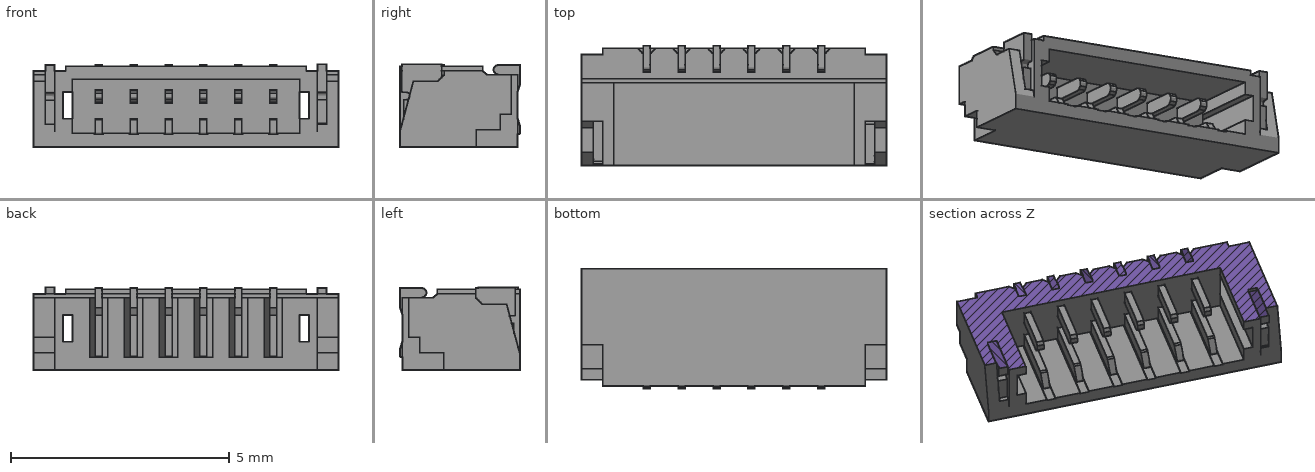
import cadquery as cq
import math


LENGTH = 7.0
REAR_Y = 2.695
BACK_TOP_Z = 1.66
DECK_Z = 1.74
RAISED_TOP_Z = 1.855
RAISED_LENGTH = 5.515
RAISED_REAR_Y = 1.9
DECK_STEP_Y = 1.995

END_WIDTH = 0.49
END_REAR_Y = 2.55
STEP_UPPER_Y = 2.295
STEP_UPPER_Z = 0.755
STEP_LOWER_Y = 1.75
STEP_LOWER_Z = 0.4

CAVITY_LENGTH = 5.21
CAVITY_FLOOR_Z = 0.315
CAVITY_ROOF_Z = 1.555
CAVITY_DEPTH = RAISED_REAR_Y
WINDOW_SPAN = 5.63
WINDOW_BOTTOM_Z = 0.65
WINDOW_TOP_Z = 1.26

POCKET_REAR_Y = 1.015
POCKET_FLOOR_Z = 1.51
POCKET_BEVEL = BACK_TOP_Z - POCKET_FLOOR_Z
SLOPE_TOP_Y = 0.31
SLOPE_BOTTOM_Z = 0.36

TAB_THICKNESS = 0.21
TAB_BOTTOM_Z = 0.525
TAB_TOP_Z = 1.88
TAB_FRONT_Y = 0.105
LEG_FRONT_Y = 0.15
LEG_TOP_Z = 1.07
TAB_NOSE_Z = 1.24
TAB_NOTCH_Y = 0.21
TAB_CORNER_RADIUS = 0.035
RIGHT_TAB_FORWARD = 0.06
RIGHT_TAB_LIFT = 0.015

CONTACT_COUNT = 6
CONTACT_PITCH = 0.8
CONTACT_THICKNESS = 0.16
CONTACT_BOTTOM_Z = 0.295
CONTACT_TOP_Z = 1.88
CONTACT_REAR_Y = 2.75
SPINE_FRONT_Y = 2.31
TAIL_NOSE_Y = 2.14
TAIL_BULGE_Z = 1.42
TAIL_FADE_Z = 1.26
HEEL_BULGE_Z = 0.48
HEEL_FADE_Z = 0.68
HEEL_BEVEL = 0.02
UPPER_BEAM_TOP_Z = 1.315
UPPER_BEAM_BOTTOM_Z = 1.01
UPPER_BEAM_TIP_Y = 0.84
NOSE_ANGLES = (90, 59, 25, 8, -8, -25, -59, -90)
LOWER_BEAM_TOP_Z = 0.645
SHOULDER_Y = 0.58
SHOULDER_BEVEL_LENGTH = 0.05
SHOULDER_BEVEL_DROP = 0.02
FOOT_Y = 0.39
FOOT_ROUND_Y = 0.385
FOOT_ROUND_Z = 0.38

GROOVE_WIDTH = 0.2
FUNNEL_WIDTH = 0.42
FUNNEL_DEPTH = 0.13

CONTACT_XS = [(i - (CONTACT_COUNT - 1) / 2) * CONTACT_PITCH for i in range(CONTACT_COUNT)]
DIAGONAL = math.sqrt(0.5)


def block(x0, x1, y0, y1, z0, z1):
    """Box between two opposite corners."""
    return cq.Workplane("XY").box(x1 - x0, y1 - y0, z1 - z0, centered=False).translate((x0, y0, z0))


def side_profile():
    """Workplane for outlines drawn as (Y, Z) points, extruded along X."""
    return cq.Workplane("YZ")


def mirrored_pair(left):
    """A left-hand shape together with its mirror image on the right."""
    return [left, left.mirror("YZ")]


def make_shell():
    """Outer block with stepped decks and the raised roof."""
    body = (
        side_profile()
        .moveTo(0, 0)
        .lineTo(REAR_Y, 0)
        .lineTo(REAR_Y, BACK_TOP_Z)
        .lineTo(DECK_STEP_Y, BACK_TOP_Z)
        .lineTo(RAISED_REAR_Y, DECK_Z)
        .lineTo(0, DECK_Z)
        .close()
        .extrude(LENGTH / 2, both=True)
    )
    half_raised = RAISED_LENGTH / 2
    return body.union(block(-half_raised, half_raised, 0, RAISED_REAR_Y, CAVITY_ROOF_Z, RAISED_TOP_Z))


def make_end_step():
    """Staircase cut from the rear of the left end block."""
    return (
        side_profile()
        .workplane(offset=-LENGTH / 2)
        .moveTo(STEP_LOWER_Y, 0)
        .lineTo(STEP_LOWER_Y, STEP_LOWER_Z)
        .lineTo(STEP_UPPER_Y, STEP_LOWER_Z)
        .lineTo(STEP_UPPER_Y, STEP_UPPER_Z)
        .lineTo(END_REAR_Y, STEP_UPPER_Z)
        .lineTo(END_REAR_Y, BACK_TOP_Z)
        .lineTo(REAR_Y, BACK_TOP_Z)
        .lineTo(REAR_Y, 0)
        .close()
        .extrude(END_WIDTH)
    )


def make_corner_pocket():
    """Open pocket with a sloping front in the left end, plus the slot that holds the tab."""
    pocket = (
        side_profile()
        .workplane(offset=-LENGTH / 2)
        .moveTo(0, SLOPE_BOTTOM_Z)
        .lineTo(SLOPE_TOP_Y, POCKET_FLOOR_Z)
        .lineTo(POCKET_REAR_Y - POCKET_BEVEL, POCKET_FLOOR_Z)
        .lineTo(POCKET_REAR_Y, BACK_TOP_Z)
        .lineTo(POCKET_REAR_Y, DECK_Z)
        .lineTo(0, DECK_Z)
        .close()
        .extrude(END_WIDTH)
    )
    inner_x = -LENGTH / 2 + END_WIDTH
    slot = block(inner_x - TAB_THICKNESS, inner_x, 0, POCKET_REAR_Y, TAB_BOTTOM_Z, DECK_Z)
    return pocket.union(slot)


def make_funnel(x):
    """V-shaped mouth in the rear face, narrowing to the contact thickness."""
    return (
        cq.Workplane("XY", origin=(x, REAR_Y, CONTACT_BOTTOM_Z))
        .moveTo(-FUNNEL_WIDTH / 2, 0)
        .lineTo(-CONTACT_THICKNESS / 2, -FUNNEL_DEPTH)
        .lineTo(CONTACT_THICKNESS / 2, -FUNNEL_DEPTH)
        .lineTo(FUNNEL_WIDTH / 2, 0)
        .close()
        .extrude(BACK_TOP_Z - CONTACT_BOTTOM_Z)
    )


def nose_points(tip_y, top_z, bottom_z):
    """Corners of a faceted half-round nose, from its top edge round to its bottom edge."""
    radius = (top_z - bottom_z) / 2
    centre_z = bottom_z + radius
    points = []
    for degrees in NOSE_ANGLES:
        angle = math.radians(degrees)
        points.append((tip_y + radius * (1 - math.cos(angle)), centre_z + radius * math.sin(angle)))
    return points


def make_contact(x):
    """Flat contact: tail on the rear deck, spine in the rear wall and two beams in the cavity."""
    outline = (
        side_profile()
        .workplane(offset=x)
        .moveTo(CONTACT_REAR_Y, CONTACT_TOP_Z)
    )
    for y, z in nose_points(TAIL_NOSE_Y, CONTACT_TOP_Z, BACK_TOP_Z):
        outline = outline.lineTo(y, z)
    outline = outline.lineTo(SPINE_FRONT_Y, BACK_TOP_Z).lineTo(SPINE_FRONT_Y, UPPER_BEAM_TOP_Z)
    for y, z in nose_points(UPPER_BEAM_TIP_Y, UPPER_BEAM_TOP_Z, UPPER_BEAM_BOTTOM_Z):
        outline = outline.lineTo(y, z)
    return (
        outline.lineTo(SPINE_FRONT_Y, UPPER_BEAM_BOTTOM_Z)
        .lineTo(SPINE_FRONT_Y, LOWER_BEAM_TOP_Z)
        .lineTo(SHOULDER_Y + SHOULDER_BEVEL_LENGTH, LOWER_BEAM_TOP_Z)
        .lineTo(SHOULDER_Y, LOWER_BEAM_TOP_Z - SHOULDER_BEVEL_DROP)
        .lineTo(FOOT_ROUND_Y, FOOT_ROUND_Z)
        .tangentArcPoint((FOOT_Y, CONTACT_BOTTOM_Z), relative=False)
        .lineTo(CONTACT_REAR_Y - HEEL_BEVEL, CONTACT_BOTTOM_Z)
        .lineTo(CONTACT_REAR_Y, CONTACT_BOTTOM_Z + HEEL_BEVEL)
        .lineTo(CONTACT_REAR_Y, HEEL_BULGE_Z)
        .lineTo(REAR_Y, HEEL_FADE_Z)
        .lineTo(REAR_Y, TAIL_FADE_Z)
        .lineTo(CONTACT_REAR_Y, TAIL_BULGE_Z)
        .close()
        .extrude(CONTACT_THICKNESS / 2, both=True)
        .solids()
    )


def make_tab():
    """Left solder tab: upright plate with a front nose, a round notch and a leg."""
    notch_radius = (TAB_NOSE_Z - LEG_TOP_Z) / 2
    corner_shift = TAB_CORNER_RADIUS * (1 - DIAGONAL)
    return (
        side_profile()
        .workplane(offset=-LENGTH / 2 + END_WIDTH - TAB_THICKNESS)
        .moveTo(POCKET_REAR_Y, TAB_BOTTOM_Z)
        .lineTo(POCKET_REAR_Y, TAB_TOP_Z)
        .lineTo(TAB_FRONT_Y, TAB_TOP_Z)
        .lineTo(TAB_FRONT_Y, TAB_NOSE_Z + TAB_CORNER_RADIUS)
        .threePointArc(
            (TAB_FRONT_Y + corner_shift, TAB_NOSE_Z + corner_shift),
            (TAB_FRONT_Y + TAB_CORNER_RADIUS, TAB_NOSE_Z),
        )
        .lineTo(TAB_NOTCH_Y, TAB_NOSE_Z)
        .threePointArc(
            (TAB_NOTCH_Y + notch_radius, LEG_TOP_Z + notch_radius),
            (TAB_NOTCH_Y, LEG_TOP_Z),
        )
        .lineTo(LEG_FRONT_Y, LEG_TOP_Z)
        .lineTo(LEG_FRONT_Y, TAB_BOTTOM_Z)
        .close()
        .extrude(TAB_THICKNESS)
    )


def make_housing(contacts):
    """Housing with its cavity, end details and openings that match the contacts."""
    housing = make_shell()

    half_cavity = CAVITY_LENGTH / 2
    half_windows = WINDOW_SPAN / 2
    housing = housing.cut(block(-half_cavity, half_cavity, 0, CAVITY_DEPTH, CAVITY_FLOOR_Z, CAVITY_ROOF_Z))
    window = block(-half_windows, -half_cavity, 0, REAR_Y, WINDOW_BOTTOM_Z, WINDOW_TOP_Z)

    for end_feature in (window, make_end_step(), make_corner_pocket()):
        for cutter in mirrored_pair(end_feature):
            housing = housing.cut(cutter)

    half_groove = GROOVE_WIDTH / 2
    for x, contact in zip(CONTACT_XS, contacts):
        groove = block(x - half_groove, x + half_groove, 0, CAVITY_DEPTH, CONTACT_BOTTOM_Z, CAVITY_FLOOR_Z)
        housing = housing.cut(groove).cut(make_funnel(x)).cut(contact)
    return housing.solids()


contacts = [make_contact(x) for x in CONTACT_XS]
housing = make_housing(contacts)
left_tab, right_tab = mirrored_pair(make_tab())
right_tab = right_tab.translate((0, -RIGHT_TAB_FORWARD, RIGHT_TAB_LIFT))

result = cq.Compound.makeCompound(
    [housing.val(), left_tab.val(), right_tab.val(), *[contact.val() for contact in contacts]]
)